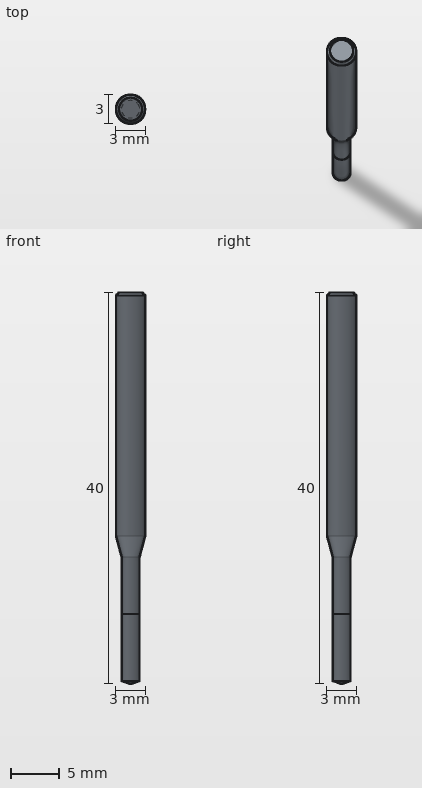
import cadquery as cq
import math

total_length = 40.0
shank_diameter = 3.0
neck_diameter = 1.85

end_chamfer = 0.3
taper_top = 15.1
taper_bottom = 12.95

tip_top = 7.15
point_angle = 140.0

shank_radius = shank_diameter / 2
neck_radius = neck_diameter / 2
point_height = neck_radius / math.tan(math.radians(point_angle / 2))


def revolve_about_z(outline):
    """Turn a closed (radius, height) outline about the Z axis."""
    return cq.Workplane("XZ").polyline(outline).close().revolve(360, (0, 0), (0, 1))


def make_shank():
    """Chamfered shank that tapers down to the neck."""
    return revolve_about_z([
        (0, tip_top),
        (neck_radius, tip_top),
        (neck_radius, taper_bottom),
        (shank_radius, taper_top),
        (shank_radius, total_length - end_chamfer),
        (shank_radius - end_chamfer, total_length),
        (0, total_length),
    ])


def make_cutting_tip():
    """Cylindrical tip with a conical drill point, butted against the neck."""
    return revolve_about_z([
        (0, 0),
        (neck_radius, point_height),
        (neck_radius, tip_top),
        (0, tip_top),
    ])


shank = make_shank()
cutting_tip = make_cutting_tip()

result = cq.Compound.makeCompound([shank.val(), cutting_tip.val()])